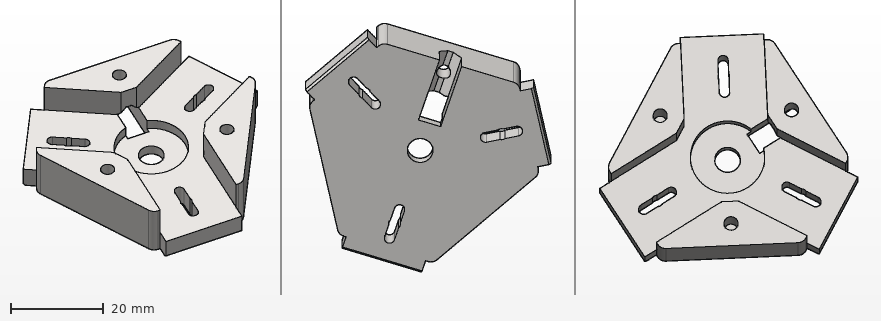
import cadquery as cq
import math

total_height = 12.0
arm_height = 5.0

arm_angles = (90, 210, 330)
arm_reach = 26.9
arm_width = 18.0
end_chamfer = 0.5

block_angles = (30, 150, 270)
block_outer = 21.2
block_inner = 11.45
corner_reach = 23.95
corner_radius = 2.0
block_hole_diameter = 3.0
block_hole_radius = 16.35

slot_width = 2.2
slot_length = 9.2
slot_center = 17.9
slot_hole_diameter = 2.5

bore_diameter = 5.5
recess_diameter = 16.0
recess_depth = 2.5

channel_angle = 150
channel_width = 5.0
channel_start = 6.6
channel_roof_height = 6.9


def turned(shape, angle):
    """Turn a shape that points along +X to the given angle about Z."""
    return shape.rotate((0, 0, 0), (0, 0, 1), angle)


def body_outline():
    """Six-sided column with alternating long and short sides."""
    half_side = (corner_reach - block_outer * math.cos(math.radians(60))) / math.sin(math.radians(60))
    corner_distance = math.hypot(block_outer, half_side)
    half_angle = math.degrees(math.atan2(half_side, block_outer))
    points = []
    for angle in block_angles:
        for side in (-half_angle, half_angle):
            direction = math.radians(angle + side)
            points.append((corner_distance * math.cos(direction), corner_distance * math.sin(direction)))
    column = cq.Workplane("XY").polyline(points).close().extrude(total_height)
    return column.edges("|Z").fillet(corner_radius)


def arm():
    """Flat arm with a chamfer along the lower edge of its end."""
    plate = cq.Workplane("XY").box(arm_reach, arm_width, arm_height, centered=(False, True, False))
    return plate.faces(">X").edges("<Z").chamfer(end_chamfer)


def arm_clearance():
    """Space above an arm, which separates the blocks."""
    return (
        cq.Workplane("XY", origin=(0, 0, arm_height))
        .box(arm_reach, arm_width, total_height - arm_height, centered=(False, True, False))
    )


def block_front_clearance():
    """Space in front of the flat inner face of a block."""
    return (
        cq.Workplane("XY", origin=(0, 0, arm_height))
        .box(block_inner, block_inner, total_height - arm_height, centered=(False, True, False))
    )


def arm_slot():
    """Through slot along an arm, with a slightly wider hole at its middle."""
    middle = cq.Workplane("XY").center(slot_center, 0)
    slot = middle.slot2D(slot_length, slot_width).extrude(arm_height)
    return slot.union(middle.circle(slot_hole_diameter / 2).extrude(arm_height))


def block_hole():
    """Hole from the top of a block down to the level of the arms."""
    return (
        cq.Workplane("XY", origin=(block_hole_radius, 0, arm_height))
        .circle(block_hole_diameter / 2)
        .extrude(total_height - arm_height)
    )


def channel():
    """Radial channel open below, with a 45 degree roof and a narrow flat ridge."""
    half_width = channel_width / 2
    half_ridge = half_width - (channel_roof_height - arm_height)
    return (
        cq.Workplane("YZ", origin=(channel_start, 0, 0))
        .polyline([
            (-half_width, 0),
            (half_width, 0),
            (half_width, arm_height),
            (half_ridge, channel_roof_height),
            (-half_ridge, channel_roof_height),
            (-half_width, arm_height),
        ])
        .close()
        .extrude(block_outer - channel_start)
    )


result = body_outline()
for angle in arm_angles:
    result = result.union(turned(arm(), angle)).cut(turned(arm_clearance(), angle))
    result = result.cut(turned(arm_slot(), angle))

for angle in block_angles:
    result = result.cut(turned(block_front_clearance(), angle)).cut(turned(block_hole(), angle))

bore = cq.Workplane("XY").circle(bore_diameter / 2).extrude(arm_height)
recess = (
    cq.Workplane("XY", origin=(0, 0, arm_height - recess_depth))
    .circle(recess_diameter / 2)
    .extrude(recess_depth)
)
result = result.cut(bore).cut(recess).cut(turned(channel(), channel_angle))